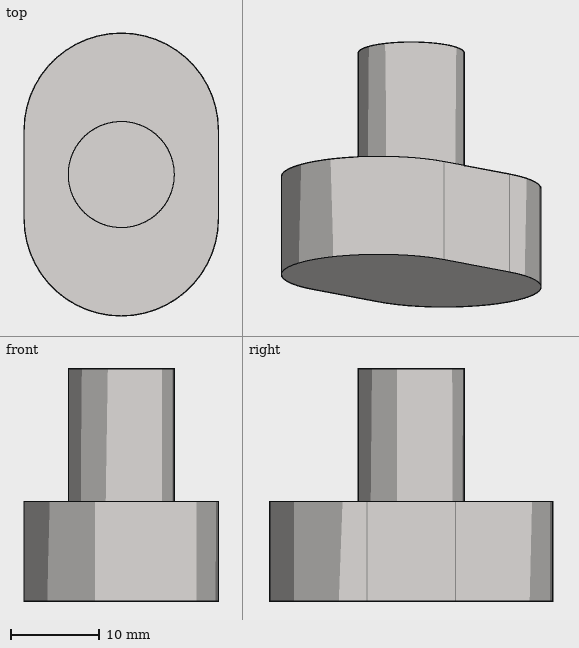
import cadquery as cq

BASE_WIDTH = 22.0
BASE_LENGTH = 32.0
BASE_HEIGHT = 11.33
PIN_DIAMETER = 12.0
PIN_HEIGHT = 15.0


def make_base():
    """Obround block standing on Z = 0 with its long axis along Y."""
    return (
        cq.Workplane("XY")
        .slot2D(BASE_LENGTH, BASE_WIDTH, angle=90)
        .extrude(BASE_HEIGHT)
    )


def add_pin(base):
    """Round pin rising from the middle of the base's top face."""
    return (
        base.faces(">Z")
        .workplane(origin=(0, 0, BASE_HEIGHT))
        .circle(PIN_DIAMETER / 2)
        .extrude(PIN_HEIGHT)
    )


result = add_pin(make_base())